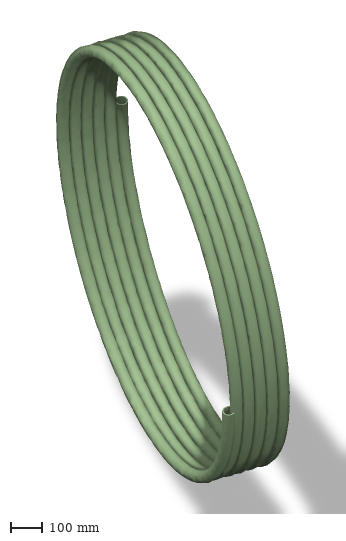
import cadquery as cq
import math

shapes = cq.occ_impl.shapes


COIL_OUTER_DIAMETER = 1450.0
COIL_LENGTH = 250.11
TUBE_DIAMETER = 42.0
WALL_THICKNESS = 4.0
TURNS = 5.5
FLAT_TURNS = 0.2
LEAD_IN_TURNS = 0.32
PATH_POINTS_PER_TURN = 32

TUBE_RADIUS = TUBE_DIAMETER / 2
BORE_RADIUS = TUBE_RADIUS - WALL_THICKNESS
COIL_RADIUS = COIL_OUTER_DIAMETER / 2 - TUBE_RADIUS
PATH_RISE = COIL_LENGTH - TUBE_DIAMETER
PITCH = PATH_RISE / (TURNS - FLAT_TURNS - LEAD_IN_TURNS / 2)


def advance(turn):
    """Distance travelled along Y after the given number of turns."""
    climbing = max(turn - FLAT_TURNS, 0)
    if climbing < LEAD_IN_TURNS:
        return PITCH * climbing**2 / (2 * LEAD_IN_TURNS)
    return PITCH * (climbing - LEAD_IN_TURNS / 2)


def centreline_point(turn):
    """Point on the tube centreline; it starts on +X and turns towards -Z."""
    angle = 2 * math.pi * turn
    return cq.Vector(
        COIL_RADIUS * math.cos(angle),
        advance(turn) - PATH_RISE / 2,
        -COIL_RADIUS * math.sin(angle),
    )


def coil_path():
    """Smooth curve through the centreline points from end to end."""
    steps = round(TURNS * PATH_POINTS_PER_TURN)
    points = [centreline_point(TURNS * step / steps) for step in range(steps + 1)]
    return cq.Edge.makeSpline(points)


def swept_wall(radius, path):
    """Round tubular surface of the given radius around the path."""
    start_circle = cq.Wire.makeCircle(radius, centreline_point(0), cq.Vector(0, 0, 1))
    return shapes.sweep(start_circle, path)


def end_rim(wall, turn):
    """The circular rim of a wall at the end of the coil reached after the given turns."""
    rim_centre = centreline_point(turn)
    rims = [edge for edge in wall.Edges() if edge.IsClosed()]
    nearest = min(rims, key=lambda rim: (rim.Center() - rim_centre).Length)
    return cq.Wire.assembleEdges([nearest])


def coiled_tube():
    """Hollow round tube along the centreline, finished by a flat ring at each end."""
    path = coil_path()
    outer = swept_wall(TUBE_RADIUS, path)
    bore = swept_wall(BORE_RADIUS, path)
    rings = [
        cq.Face.makeFromWires(end_rim(outer, turn), [end_rim(bore, turn)])
        for turn in (0, TURNS)
    ]
    return shapes.solid(outer.Faces() + bore.Faces() + rings)


result = cq.Workplane(obj=coiled_tube())